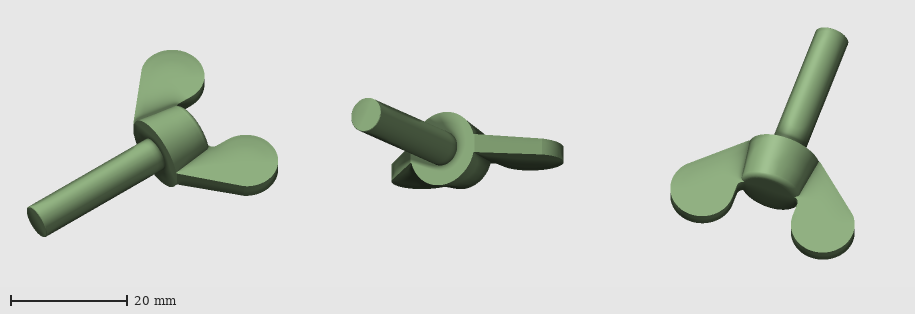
import cadquery as cq
import math

shank_diameter = 6.0
shank_length = 25.03
shank_end_chamfer = 0.105

hub_base_radius = 6.5
hub_shoulder_radius = 5.5
hub_height = 7.98
hub_edge_round = 1.0

overall_length = 42.0
overall_width = 33.0
lobe_radius = 5.5
root_fillet = 1.0
wing_root_thickness = 3.25
wing_tip_thickness = 2.45

wing_tip_y = overall_length - shank_length
lobe_x = overall_width / 2 - lobe_radius
lobe_y = wing_tip_y - lobe_radius
wing_inner_x = lobe_x - lobe_radius


def make_shank():
    shank = cq.Workplane("XZ").circle(shank_diameter / 2).extrude(shank_length)
    return shank.faces("<Y").chamfer(shank_end_chamfer)


def make_hub():
    shoulder_y = hub_height - hub_edge_round
    round_middle = hub_edge_round * math.sqrt(0.5)
    top_radius = hub_shoulder_radius - hub_edge_round
    return (
        cq.Workplane("XY")
        .lineTo(hub_base_radius, 0)
        .lineTo(hub_shoulder_radius, shoulder_y)
        .threePointArc((top_radius + round_middle, shoulder_y + round_middle), (top_radius, hub_height))
        .lineTo(0, hub_height)
        .close()
        .revolve(360, (0, 0), (0, 1))
    )


def make_wing_plan():
    edge_end_x = lobe_x + math.sqrt(lobe_radius**2 - (lobe_y - hub_height) ** 2)
    fillet_middle = root_fillet * (1 - math.sqrt(0.5))
    return (
        cq.Workplane("XY")
        .lineTo(hub_base_radius, 0)
        .lineTo(edge_end_x, hub_height)
        .threePointArc((lobe_x, wing_tip_y), (wing_inner_x, lobe_y))
        .lineTo(wing_inner_x, hub_height + root_fillet)
        .threePointArc(
            (wing_inner_x - fillet_middle, hub_height + fillet_middle),
            (wing_inner_x - root_fillet, hub_height),
        )
        .lineTo(0, hub_height)
        .close()
        .extrude(wing_root_thickness / 2, both=True)
    )


def make_wings():
    root_half = wing_root_thickness / 2
    tip_half = wing_tip_thickness / 2
    taper = (
        cq.Workplane("YZ")
        .polyline([(0, -root_half), (wing_tip_y, -tip_half), (wing_tip_y, tip_half), (0, root_half)])
        .close()
        .extrude(overall_width / 2, both=True)
    )
    wing = make_wing_plan()
    return wing.union(wing.mirror("YZ")).intersect(taper)


result = make_hub().union(make_wings()).union(make_shank())